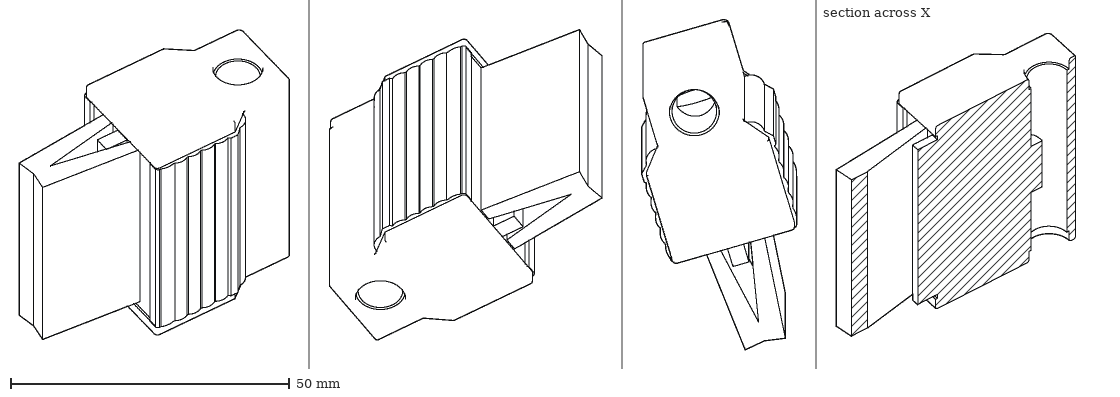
import cadquery as cq
import math


total_length = 51.0
total_height = 45.0
cap_thickness = 2.6
core_height = total_height - 2 * cap_thickness
core_top = core_height / 2
back_y = 31.6
neck_half_width = 16.0 / 2
edge_radius = 0.5

cap_half_width = 22.95 / 2
cap_front_y = 0.1
cap_shoulder_front_y = 17.25
cap_shoulder_back_y = 21.55
cap_front_corner_radius = 0.75
cap_neck_fillet_radius = 0.5
cap_back_left_radius = 1.0

core_half_width = 24.75 / 2
groove_half_width = 12.0
rib_count = 4
rib_pitch = 2.95
rib_radius = 5.0 / 2
first_rib_y = 5.1
front_rib_start_y = 0.85
front_rib_end_y = 3.35
front_rib_half_width = 12.15
front_groove_half_width = 11.85
front_corner_y = 0.55
front_corner_radius = 3.0 / 2
front_face_half_width = 11.4
flat_start_y = 15.7
flat_end_y = 17.25
bump_radius = rib_radius
bump_x = 8.55
bump_y = 18.45

recess_half_width = 9.6
recess_depth = 0.5

hole_y = 25.6
core_hole_diameter = 8.0
cap_hole_diameter = 9.0

pin_diameter = 11.4
pin_end_y = 24.05
pin_start_y = 15.3

blade_tip_y = back_y - total_length
blade_bottom = -18.5
blade_root_half_width = 5.55
blade_tip_half_width = 3.75
fork_root_half_width = 3.0
fork_apex_y = -15.15
tip_notch_depth = 0.6
tab_width = 3.0
tab_length = 3.95
tab_height = 38.05


def ring_hole(diameter, bottom_z, height):
    """Vertical cylinder to cut through the neck."""
    return cq.Workplane("XY", origin=(0, hole_y, bottom_z)).circle(diameter / 2).extrude(height)


def draw_core_half(plane):
    """Draw the +X half of the core outline, from the front centre to the back centre."""
    rib_half_chord = math.sqrt(
        rib_radius**2 - (rib_radius - core_half_width + groove_half_width) ** 2
    )
    line_sum = core_half_width + flat_end_y - bump_x - bump_y
    offset = (line_sum + math.sqrt(2 * bump_radius**2 - line_sum**2)) / 2
    bump_start = (bump_x + offset, bump_y + line_sum - offset)
    bump_end = (neck_half_width, bump_y + math.sqrt(bump_radius**2 - (bump_x - neck_half_width) ** 2))
    diagonal_reach = bump_radius * math.sqrt(0.5)
    bump_middle = (bump_x + diagonal_reach, bump_y + diagonal_reach)

    outline = (
        plane.moveTo(0, 0)
        .lineTo(front_face_half_width, 0)
        .radiusArc((front_groove_half_width, front_corner_y), -front_corner_radius)
        .lineTo(front_groove_half_width, front_rib_start_y)
        .threePointArc(
            (front_rib_half_width, (front_rib_start_y + front_rib_end_y) / 2),
            (groove_half_width, front_rib_end_y),
        )
    )
    for i in range(rib_count):
        rib_y = first_rib_y + i * rib_pitch
        outline = outline.lineTo(groove_half_width, rib_y - rib_half_chord).threePointArc(
            (core_half_width, rib_y), (groove_half_width, rib_y + rib_half_chord)
        )
    return (
        outline.lineTo(core_half_width, flat_start_y)
        .lineTo(core_half_width, flat_end_y)
        .lineTo(*bump_start)
        .threePointArc(bump_middle, bump_end)
        .lineTo(neck_half_width, back_y - edge_radius)
        .radiusArc((neck_half_width - edge_radius, back_y), -edge_radius)
        .lineTo(0, back_y)
    )


def make_core():
    base = cq.Workplane("XY").workplane(offset=-core_top)
    core = draw_core_half(base).mirrorY().extrude(core_height)
    floor_half_width = recess_half_width - recess_depth
    recess = (
        base.polyline(
            [
                (-recess_half_width, 0),
                (recess_half_width, 0),
                (floor_half_width, recess_depth),
                (-floor_half_width, recess_depth),
            ]
        )
        .close()
        .extrude(core_height)
    )
    return core.cut(recess).cut(ring_hole(core_hole_diameter, -core_top, core_height))


def make_top_cap(back_left_radius):
    """Build the top cap; back_left_radius rounds its vertical corner at (-X, +Y)."""
    half_points = [
        (cap_half_width, cap_front_y),
        (cap_half_width, cap_shoulder_front_y),
        (neck_half_width, cap_shoulder_back_y),
        (neck_half_width, back_y),
    ]
    left_points = [(-x, y) for x, y in reversed(half_points)]
    cap = (
        cq.Workplane("XY")
        .workplane(offset=core_top)
        .polyline(half_points + left_points)
        .close()
        .extrude(cap_thickness)
    )
    for x in (-neck_half_width, neck_half_width):
        neck_corner = cq.selectors.NearestToPointSelector((x, cap_shoulder_back_y, core_top))
        cap = cap.edges("|Z").edges(neck_corner).fillet(cap_neck_fillet_radius)
    cap = cap.edges("|Z and <Y").fillet(cap_front_corner_radius)
    cap = cap.faces(">Y").edges("|Z and >X").fillet(edge_radius)
    cap = cap.faces(">Y").edges("|Z and <X").fillet(back_left_radius)
    cap = cap.cut(ring_hole(cap_hole_diameter, core_top, cap_thickness))
    return cap.faces(">Z").edges().fillet(edge_radius)


def make_pin():
    return (
        cq.Workplane("XZ", origin=(0, pin_start_y, 0))
        .circle(pin_diameter / 2)
        .extrude(pin_start_y - pin_end_y)
    )


def make_blade():
    right_points = [
        (fork_root_half_width, recess_depth),
        (blade_root_half_width, recess_depth),
        (blade_tip_half_width, blade_tip_y),
    ]
    left_points = [(-x, y) for x, y in reversed(right_points)]
    tip_notch = (0, blade_tip_y + tip_notch_depth)
    return (
        cq.Workplane("XY")
        .workplane(offset=blade_bottom)
        .polyline([(0, fork_apex_y)] + right_points + [tip_notch] + left_points)
        .close()
        .extrude(core_top - blade_bottom)
    )


def make_tab():
    length = tab_length + recess_depth
    return cq.Workplane("XY").box(tab_width, length, tab_height).translate((0, recess_depth - length / 2, 0))


top_cap = make_top_cap(cap_back_left_radius)
bottom_cap = make_top_cap(edge_radius).mirror("XY")
result = make_core().union(top_cap).union(bottom_cap)
result = result.union(make_pin()).union(make_blade()).union(make_tab())